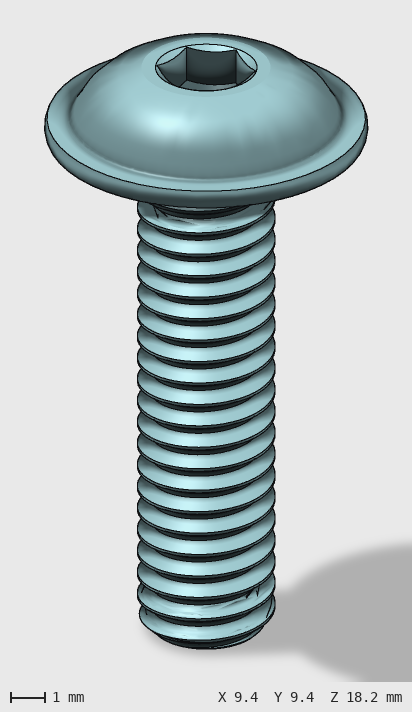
import cadquery as cq
import math


total_length = 18.2
head_height = 2.2
shank_length = total_length - head_height

flange_radius = 9.4 / 2
flange_thickness = 0.55
rim_bulge = 0.07
dome_base_radius = 3.97
dome_top_radius = 1.87
dome_arc_radius = 2.73
dome_foot_fillet = 0.16

socket_across_flats = 2.5
socket_depth = 1.1
socket_cone_slope = 30.0
socket_tip_radius = 0.13
socket_mouth_radius = 1.47
socket_mouth_slope = 30.0
hexagon_turn = 30.0

neck_radius = 2.11
neck_length = 0.78
neck_fillet = 0.16

major_radius = 4.0 / 2
root_radius = 1.58
pitch_count = 20
pitched_length = 14.01
pitch = pitched_length / pitch_count
crest_width = pitch / 8
flank_angle = 30.0
tip_radius = 1.57
trim_allowance = 0.18
core_overlap = 0.05
run_out_turns = 2


def make_head():
    """Flat flange carrying a domed button with a flat top; the rim bulges outward."""
    rim_edge_radius = flange_radius - rim_bulge
    profile = (
        cq.Workplane("XZ")
        .lineTo(rim_edge_radius, 0)
        .threePointArc((flange_radius, flange_thickness / 2), (rim_edge_radius, flange_thickness))
        .lineTo(dome_base_radius, flange_thickness)
        .radiusArc((dome_top_radius, head_height), -dome_arc_radius)
        .lineTo(0, head_height)
        .close()
    )
    head = profile.revolve(360, (0, 0, 0), (0, 1, 0))
    foot_circle = cq.selectors.RadiusNthSelector(0)
    flange_top = head.faces(cq.selectors.NearestToPointSelector((0, rim_edge_radius, flange_thickness)))
    return flange_top.edges(foot_circle).fillet(dome_foot_fillet)


def make_socket():
    """Hexagonal recess with corners on the Y axis, a conical floor and a countersunk mouth."""
    corner_radius = socket_across_flats / math.sqrt(3)
    floor_z = head_height - socket_depth
    cone_drop = (corner_radius - socket_tip_radius) * math.tan(math.radians(socket_cone_slope))
    tip_z = floor_z - cone_drop
    drill = (
        cq.Workplane("XZ")
        .moveTo(0, tip_z)
        .lineTo(socket_tip_radius, tip_z)
        .lineTo(corner_radius, floor_z)
        .lineTo(corner_radius, head_height)
        .lineTo(0, head_height)
        .close()
        .revolve(360, (0, 0, 0), (0, 1, 0))
    )
    hexagon = (
        cq.Workplane("XY")
        .workplane(offset=tip_z)
        .polygon(6, 2 * corner_radius)
        .extrude(head_height - tip_z)
        .rotate((0, 0, 0), (0, 0, 1), hexagon_turn)
    )
    mouth_depth = socket_mouth_radius * math.tan(math.radians(socket_mouth_slope))
    mouth = (
        cq.Workplane("XZ")
        .moveTo(0, head_height)
        .lineTo(socket_mouth_radius, head_height)
        .lineTo(0, head_height - mouth_depth)
        .close()
        .revolve(360, (0, 0, 0), (0, 1, 0))
    )
    return hexagon.intersect(drill).union(mouth)


def make_neck():
    """Plain collar that flares into the flange and tapers to the thread root at the flank angle."""
    cone_drop = (neck_radius - root_radius) * math.tan(math.radians(flank_angle))
    return (
        cq.Workplane("XZ")
        .lineTo(neck_radius + neck_fillet, 0)
        .radiusArc((neck_radius, -neck_fillet), neck_fillet)
        .lineTo(neck_radius, -neck_length)
        .lineTo(root_radius, -neck_length - cone_drop)
        .lineTo(0, -neck_length - cone_drop)
        .close()
        .revolve(360, (0, 0, 0), (0, 1, 0))
    )


def make_thread():
    """Core with a helical ridge, trimmed to a chamfered tip."""
    end_z = -pitch
    start_z = end_z - pitched_length - (1 + run_out_turns) * pitch
    inner_radius = root_radius - core_overlap
    half_crest = crest_width / 2
    half_base = half_crest + (major_radius - inner_radius) * math.tan(math.radians(flank_angle))
    helix = cq.Wire.makeHelix(pitch, end_z - start_z, inner_radius).translate(cq.Vector(0, 0, start_z))
    ridge = (
        cq.Workplane("XZ")
        .moveTo(inner_radius, start_z - half_base)
        .lineTo(major_radius, start_z - half_crest)
        .lineTo(major_radius, start_z + half_crest)
        .lineTo(inner_radius, start_z + half_base)
        .close()
        .sweep(cq.Workplane(obj=helix), isFrenet=True)
    )
    core = cq.Workplane("XY").circle(root_radius).extrude(-shank_length)
    trim_radius = major_radius + trim_allowance
    envelope = (
        cq.Workplane("XY")
        .circle(trim_radius)
        .extrude(-shank_length)
        .faces("<Z")
        .chamfer(trim_radius - tip_radius)
    )
    return core.intersect(envelope).union(ridge.intersect(envelope))


result = make_head().cut(make_socket()).union(make_neck()).union(make_thread())